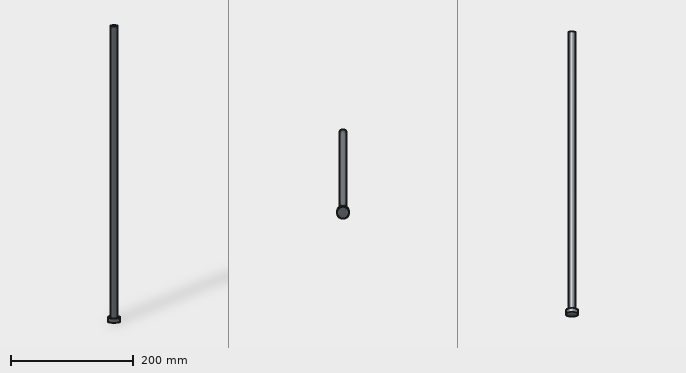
import cadquery as cq

total_length = 500.0
head_diameter = 20.0
head_height = 7.0
shaft_diameter = 12.0

head = cq.Workplane("XY").circle(head_diameter / 2).extrude(head_height)

shaft_length = total_length - head_height
shaft = head.faces(">Z").workplane().circle(shaft_diameter / 2).extrude(shaft_length, combine=False)

result = head.union(shaft)